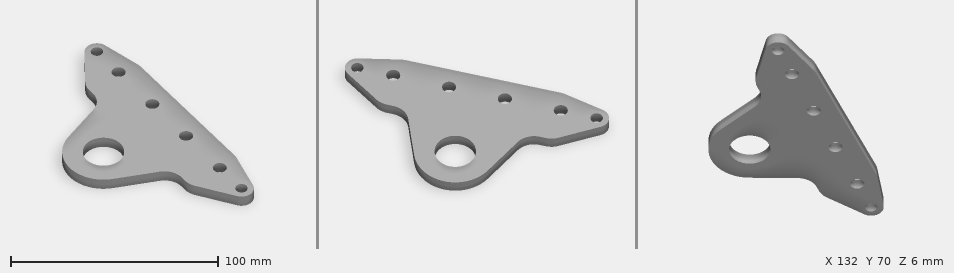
import cadquery as cq
import math

thickness = 6.0
bore_diameter = 20.0
boss_radius = 20.0

hole_row_y = 39.0
bolt_hole_diameter = 6.8
bolt_hole_pitch = 28.0
bolt_hole_count = 4
tip_hole_diameter = 6.0
tip_hole_x = 60.0
tip_radius = 6.0

top_edge_y = 50.0
lower_edge_y = 20.0
top_corner_x = 40.0
lower_corner_x = 43.0
leg_corner_x = 30.0
corner_fillet = 10.0


def tangent_point(corner, center, radius, side):
    """Point where a line from corner touches a circle; side (+1 or -1) picks which of the two."""
    dx = corner[0] - center[0]
    dy = corner[1] - center[1]
    angle = math.atan2(dy, dx) + side * math.acos(radius / math.hypot(dx, dy))
    return (center[0] + radius * math.cos(angle), center[1] + radius * math.sin(angle))


def mirrored(point):
    return (-point[0], point[1])


tip_center = (tip_hole_x, hole_row_y)
top_corner = (top_corner_x, top_edge_y)
lower_corner = (lower_corner_x, lower_edge_y)
leg_corner = (leg_corner_x, lower_edge_y)
tip_end = (tip_hole_x + tip_radius, hole_row_y)
tip_upper = tangent_point(top_corner, tip_center, tip_radius, -1)
tip_lower = tangent_point(lower_corner, tip_center, tip_radius, 1)
boss_tangent = tangent_point(leg_corner, (0, 0), boss_radius, -1)
boss_bottom = (0, -boss_radius)


def make_plate():
    """Plate with straight edges tangent to the tips and the boss, and its other corners rounded."""
    plate = (
        cq.Workplane("XY")
        .moveTo(*mirrored(top_corner))
        .lineTo(*top_corner)
        .lineTo(*tip_upper)
        .threePointArc(tip_end, tip_lower)
        .lineTo(*lower_corner)
        .lineTo(*leg_corner)
        .lineTo(*boss_tangent)
        .threePointArc(boss_bottom, mirrored(boss_tangent))
        .lineTo(*mirrored(leg_corner))
        .lineTo(*mirrored(lower_corner))
        .lineTo(*mirrored(tip_lower))
        .threePointArc(mirrored(tip_end), mirrored(tip_upper))
        .close()
        .extrude(thickness)
    )
    for right_corner in (top_corner, lower_corner, leg_corner):
        for x, y in (right_corner, mirrored(right_corner)):
            corner_edge = cq.selectors.NearestToPointSelector((x, y, thickness / 2))
            plate = plate.edges("|Z").edges(corner_edge).fillet(corner_fillet)
    return plate


def through_holes(points, diameter):
    return cq.Workplane("XY").pushPoints(points).circle(diameter / 2).extrude(thickness)


first_bolt_x = -bolt_hole_pitch * (bolt_hole_count - 1) / 2
bolt_points = [(first_bolt_x + i * bolt_hole_pitch, hole_row_y) for i in range(bolt_hole_count)]

result = (
    make_plate()
    .cut(through_holes([(0, 0)], bore_diameter))
    .cut(through_holes(bolt_points, bolt_hole_diameter))
    .cut(through_holes([tip_center, mirrored(tip_center)], tip_hole_diameter))
)